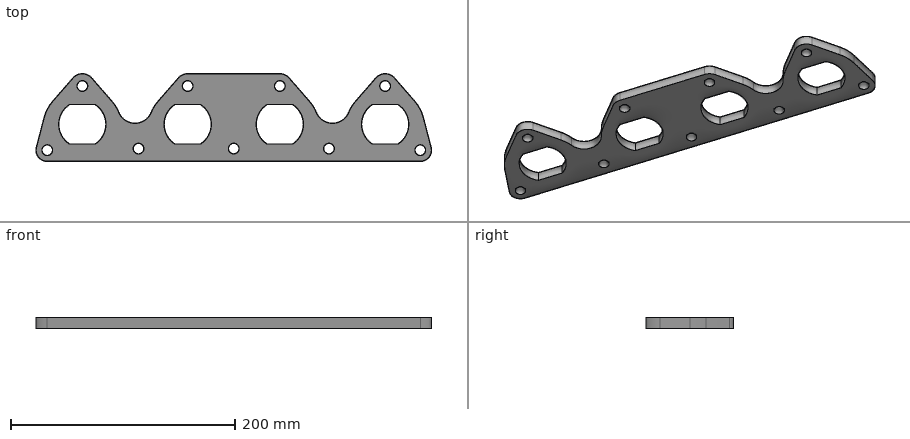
import cadquery as cq
import math

LENGTH = 353.2
WIDTH = 78.42
THICKNESS = 10.0

BOLT_DIAMETER = 9.27
LOWER_BOLT_X = 85.0
LOWER_BOLT_Y = 11.5

PORT_DIAMETER = 41.9
PORT_HEIGHT = 35.0
PORT_Y = 33.2
INNER_PORT_X = 41.13
OUTER_PORT_X = 135.17

CORNER_RADIUS = 10.1
LOBE_RADIUS = 11.05
WALL_RADIUS = 35.3
WALL_Y = 30.45
VALLEY_FLOOR_Y = 34.2

CORNER = (LENGTH / 2 - CORNER_RADIUS, CORNER_RADIUS)
LOBE_Y = WIDTH - LOBE_RADIUS
OUTER_LOBE = (OUTER_PORT_X, LOBE_Y)
INNER_LOBE = (INNER_PORT_X, LOBE_Y)
OUTER_WALL = (OUTER_PORT_X, WALL_Y)
INNER_WALL = (INNER_PORT_X, WALL_Y)


def polar(centre, radius, angle):
    """Point on a circle at an angle in radians from +X."""
    return (centre[0] + radius * math.cos(angle), centre[1] + radius * math.sin(angle))


def tangent_angle(start, start_radius, end, end_radius):
    """Direction from both centres to the line touching both circles on the right of start-to-end."""
    dx = end[0] - start[0]
    dy = end[1] - start[1]
    tilt = math.acos((start_radius - end_radius) / math.hypot(dx, dy))
    return math.atan2(dy, dx) - tilt


def arc(sketch, centre, radius, start_angle, end_angle):
    """Line to the start of an arc, then the arc itself."""
    middle = polar(centre, radius, (start_angle + end_angle) / 2)
    end = polar(centre, radius, end_angle)
    return sketch.lineTo(*polar(centre, radius, start_angle)).threePointArc(middle, end)


def half_plate():
    """The +X half of the plate, traced anticlockwise from the middle of the bottom edge."""
    side = tangent_angle(CORNER, CORNER_RADIUS, OUTER_WALL, WALL_RADIUS)
    slope = tangent_angle(OUTER_WALL, WALL_RADIUS, OUTER_LOBE, LOBE_RADIUS)
    mirrored_slope = math.pi - slope

    half_pitch = (OUTER_PORT_X - INNER_PORT_X) / 2
    floor_rise = VALLEY_FLOOR_Y - WALL_Y
    valley_radius = (half_pitch**2 + floor_rise**2 - WALL_RADIUS**2) / (2 * (WALL_RADIUS - floor_rise))
    valley_x = (OUTER_PORT_X + INNER_PORT_X) / 2
    valley_angle = math.atan2(VALLEY_FLOOR_Y + valley_radius - WALL_Y, half_pitch)

    outline = cq.Workplane("XY").moveTo(0, 0)
    outline = arc(outline, CORNER, CORNER_RADIUS, -math.pi / 2, side)
    outline = arc(outline, OUTER_WALL, WALL_RADIUS, side, slope)
    outline = arc(outline, OUTER_LOBE, LOBE_RADIUS, slope, mirrored_slope)
    outline = arc(outline, OUTER_WALL, WALL_RADIUS, mirrored_slope, math.pi - valley_angle)
    valley_end = polar(INNER_WALL, WALL_RADIUS, valley_angle)
    outline = outline.threePointArc((valley_x, VALLEY_FLOOR_Y), valley_end)
    inner_wall_middle = polar(INNER_WALL, WALL_RADIUS, (valley_angle + slope) / 2)
    inner_wall_end = polar(INNER_WALL, WALL_RADIUS, slope)
    outline = outline.threePointArc(inner_wall_middle, inner_wall_end)
    outline = arc(outline, INNER_LOBE, LOBE_RADIUS, slope, math.pi / 2)
    return outline.lineTo(0, WIDTH).close().extrude(THICKNESS)


def ports():
    """Cutters for the four flat-sided ports."""
    centres = [(x, PORT_Y) for x in (-OUTER_PORT_X, -INNER_PORT_X, INNER_PORT_X, OUTER_PORT_X)]
    bores = cq.Workplane("XY").pushPoints(centres).circle(PORT_DIAMETER / 2).extrude(THICKNESS)
    band = cq.Workplane("XY").center(0, PORT_Y).rect(LENGTH, PORT_HEIGHT).extrude(THICKNESS)
    return bores.intersect(band)


def bolt_holes():
    """Cutters for the bolt holes along the bottom edge and in the lobes."""
    half = [CORNER, (LOWER_BOLT_X, LOWER_BOLT_Y), OUTER_LOBE, INNER_LOBE]
    centres = [(side * x, y) for side in (-1, 1) for x, y in half]
    centres.append((0, LOWER_BOLT_Y))
    return cq.Workplane("XY").pushPoints(centres).circle(BOLT_DIAMETER / 2).extrude(THICKNESS)


right_half = half_plate()
plate = right_half.union(right_half.mirror("YZ")).clean()
result = plate.cut(ports()).cut(bolt_holes())